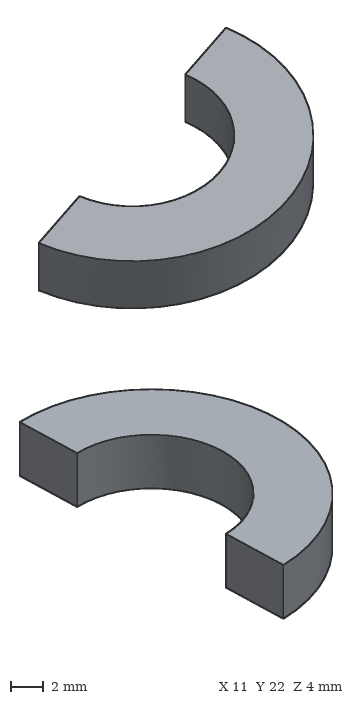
import cadquery as cq

outer_radius = 11.0
inner_radius = 6.2
thickness = 4.0


def half_ring():
    """Half of a flat ring, centred on the Z axis and standing on Z = 0."""
    return (
        cq.Workplane("XY")
        .moveTo(0, -outer_radius)
        .threePointArc((outer_radius, 0), (0, outer_radius))
        .lineTo(0, inner_radius)
        .threePointArc((inner_radius, 0), (0, -inner_radius))
        .close()
        .extrude(thickness)
    )


result = half_ring()